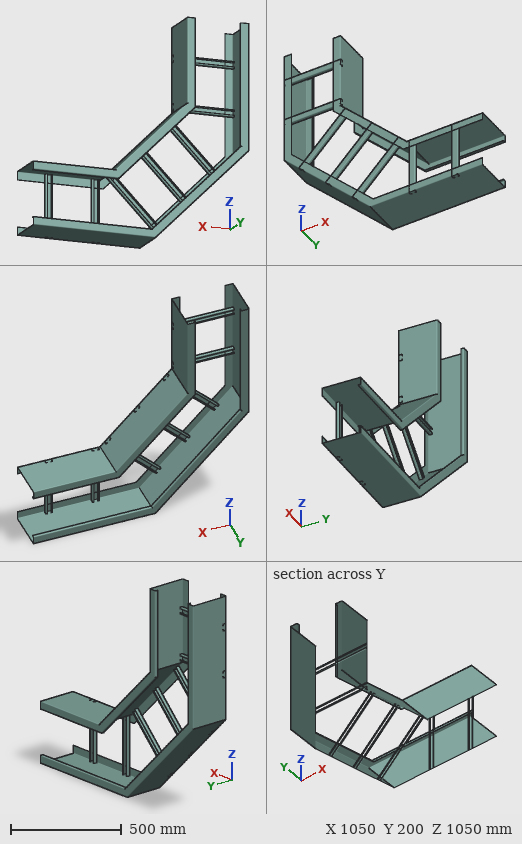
import cadquery as cq
import math


overall = 1050.0
depth = 200.0
arm_width = 300.0
outer_corner = 456.0
inner_corner = 649.0

sheet = 2.0
inside_bend = 2.0
outside_bend = inside_bend + sheet

flange_width = 40.0
back_lip = 16.0

rung_width = 35.0
rung_depth = 18.0
rung_lip = 8.0

arm_stations = (675.0, 902.0)
diagonal_pitch = 200.0
diagonal_stations = (-diagonal_pitch, 0.0, diagonal_pitch)

front = -depth / 2
back = depth / 2
same_point = sheet / 10


def folded_section(plane, outside):
    """Face of a sheet folded along the given outside points, which turn left at every fold."""
    last = len(outside) - 1
    normals = []
    for (u0, v0), (u1, v1) in zip(outside, outside[1:]):
        length = math.hypot(u1 - u0, v1 - v0)
        normals.append(((v0 - v1) / length, (u1 - u0) / length))
    inside = [(outside[0][0] + sheet * normals[0][0], outside[0][1] + sheet * normals[0][1])]
    for (u, v), before, after in zip(outside[1:last], normals, normals[1:]):
        inside.append((u + sheet * (before[0] + after[0]), v + sheet * (before[1] + after[1])))
    inside.append((outside[last][0] + sheet * normals[-1][0], outside[last][1] + sheet * normals[-1][1]))

    outline = [plane.toWorldCoords(point) for point in outside + inside[::-1]]
    face = cq.Face.makeFromWires(cq.Wire.makePolygon(outline, close=True))
    for corners, radius in ((outside, outside_bend), (inside, inside_bend)):
        folds = [plane.toWorldCoords(point) for point in corners[1:last]]
        vertices = [
            vertex
            for vertex in face.Vertices()
            if min((vertex.Center() - fold).Length for fold in folds) < same_point
        ]
        face = face.fillet2D(radius, vertices)
    return face


def side_rail(web, corner, opening):
    """Channel rail with a plain front flange and a lipped back flange, mitred at both bends.

    opening is +1 when the channel's upper end opens towards +X, and -1 when towards -X.
    """
    plane = cq.Plane(origin=(web, 0, overall), xDir=(opening, 0, 0), normal=(0, 0, 1))
    lip_end = (flange_width, opening * (back - back_lip))
    back_edge = (flange_width, opening * back)
    back_fold = (0, opening * back)
    front_fold = (0, opening * front)
    front_edge = (flange_width, opening * front)
    outside = [lip_end, back_edge, back_fold, front_fold, front_edge]
    if opening < 0:
        outside.reverse()
    section = folded_section(plane, outside)
    path = cq.Workplane("XZ").polyline([(web, overall), (web, corner), (corner, web), (overall, web)])
    return cq.Workplane(section.outerWire()).toPending().sweep(path, transition="right")


def rung(start, end):
    """Lipped channel rung between two (x, z) points, its base lying on the front flanges."""
    run_x, run_z = end[0] - start[0], end[1] - start[1]
    plane = cq.Plane(
        origin=(start[0], front + sheet, start[1]),
        xDir=(run_z, 0, -run_x),
        normal=(run_x, 0, run_z),
    )
    half = rung_width / 2
    outside = [
        (rung_lip - half, rung_depth),
        (-half, rung_depth),
        (-half, 0),
        (half, 0),
        (half, rung_depth),
        (half - rung_lip, rung_depth),
    ]
    section = folded_section(plane, outside)
    return cq.Workplane(cq.Solid.extrudeLinear(section, cq.Vector(run_x, 0, run_z)))


outer_rail = side_rail(0, outer_corner, 1)
inner_rail = side_rail(arm_width, inner_corner, -1)

rungs = []

arm_start = sheet
arm_end = arm_width - sheet
for station in arm_stations:
    rungs.append(rung((arm_start, station), (arm_end, station)))
    rungs.append(rung((station, arm_start), (station, arm_end)))

diagonal_start = outer_corner / math.sqrt(2) + sheet
diagonal_end = (arm_width + inner_corner) / math.sqrt(2) - sheet


def diagonal_point(distance, station):
    """(x, z) at a distance from the origin along x = z, moved sideways by the station."""
    return ((distance + station) / math.sqrt(2), (distance - station) / math.sqrt(2))


for station in diagonal_stations:
    rungs.append(rung(diagonal_point(diagonal_start, station), diagonal_point(diagonal_end, station)))

rungs = [bar.cut(outer_rail).cut(inner_rail) for bar in rungs]

result = cq.Compound.makeCompound([outer_rail.val(), inner_rail.val(), *[bar.val() for bar in rungs]])